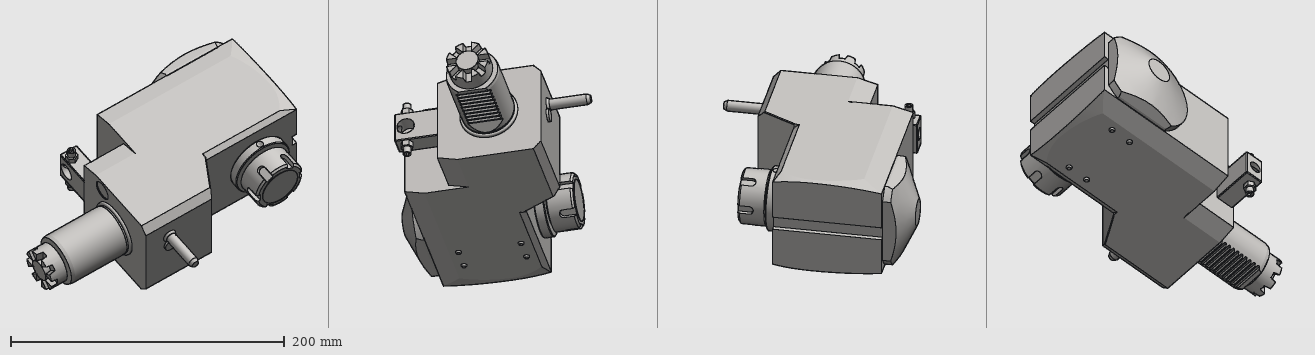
import cadquery as cq
import math


half_height = 37.6
back_y = 156.1
left_x = -72.0
foot_left_x = -38.8
foot_y = 35.2
head_right_x = 9.2
foot_right_x = 39.0
slope_top_y = 75.0
slope_bottom_y = 59.0
left_bevel_width = 15.0
left_bevel_drop = 4.0
head_bevel_width = 4.3
head_bevel_drop = 3.1
foot_bevel_width = 5.5
foot_bevel_drop = 6.0
slope_bevel = 0.7
crown_x = -20.0
crown_inset = 3.4
crown_left_radius = 84.0
crown_right_radius = 40.3
crown_slope = 0.19
crown_arc_angle = 50
crown_cut_height = 9
keyway_width = 10.0
keyway_depth = 3.8
recess_x = -16.1
recess_z = 27.8
recess_radius = 7.5
recess_depth = 1.0

spindle_y = 120.5
cap_radius = 40.0
cap_rim_x = -78.0
cap_tip_x = -92.0
cap_tip_radius = 10.0
cap_back_y = 152.0
cap_corner_y = 144.3
cap_corner_z = 25.3
cap_half_height = 33.0
cap_flat_x = -74
ring_end_x = 17.0
ring_radius = 24.0
ring_chamfer = 0.7
ring_hole_radius = 2.7
ring_hole_depth = 2.7
neck_radius = 16.4
nut_start_x = 18.5
nut_end_x = 38.3
nut_radius = 20.8
nut_chamfer = 1.5
nut_boss_radius = 15.7
nut_boss_length = 0.5
nut_slot_count = 6
nut_slot_width = 6.3
nut_slot_depth = 3.4
nut_slot_length = 11.9

flange_radius = 21.7
flange_length = 2.0
flange_fillet = 1.1
groove_radius = 19.7
groove_end_y = -3.4
shank_radius = 20.0
shank_end_radius = 19.3
shank_taper_y = -49.7
shank_end_y = -52.6
end_neck_radius = 12.8
end_nut_y = -54.0
end_nut_radius = 16.0
end_y = -67.9
runout_y = -4.0
flat_start_y = -10.8
tooth_valley_z = -15.0
tooth_crest_z = -16.4
first_tooth_y = -13.2
tooth_pitch = 4.0
tooth_count = 9
tooth_tip = 1.0
tooth_root = 2.7
end_slot_count = 8
end_slot_mouth = 6.3
end_slot_floor = 4.5
end_slot_depth = 5.2
end_hub_radius = 8.3

pin_y = 21.3
pin_z = 16.0
pin_radius = 4.0
pin_length = 32.5
pin_tip_length = 2.7
pin_tip_radius = 2.7
pin_collar_length = 2.0
pin_collar_base_radius = 5.4
pin_collar_top_radius = 4.3
button_z = 6.5
button_radius = 5.0
button_height = 1.8

block_left_x = -71.2
block_front_y = 1.1
block_back_y = 16.1
block_half_height = 12.0
block_edge = 0.7
port_x = -63.0
front_port_radius = 6.5
front_port_depth = 12.3
side_port_y = 7.8
side_port_radius = 4.7
side_port_depth = 21.3
jet_radius = 1.1
jet_depth = 3.4
screw_y = 5.8
nut_across_corners = 9.2
screw_radius = 3.0
socket_across_corners = 3.5
socket_depth = 2.2
screw_nut_height = 4.5
screw_height = 9.9

stud_spacing_x = 47
stud_spacing_y = 17.0
stud_center_x = -26.5
stud_base_radius = 2.2
stud_top_radius = 1.3
stud_height = 1.3

SPINDLE_START = (0, spindle_y, 0)
SPINDLE_END = (1, spindle_y, 0)
overlap = 2.2


def edge_bevel(edge_x, inward, width, drop, start_y, end_y):
    """Cutters for the top and bottom bevel along one edge parallel to Y."""
    profile = [
        (edge_x + inward * width, half_height),
        (edge_x, half_height - drop),
        (edge_x - inward * overlap, half_height - drop),
        (edge_x - inward * overlap, half_height + overlap),
        (edge_x + inward * width, half_height + overlap),
    ]
    top = cq.Workplane("XZ", origin=(0, start_y, 0)).polyline(profile).close().extrude(start_y - end_y)
    return top.union(top.mirror("XY"))


def slope_bevel_cutter():
    """Cutters for the narrow bevel along the top and bottom of the sloping wall."""
    run = foot_right_x - head_right_x
    fall = slope_top_y - slope_bottom_y
    length = math.hypot(run, fall)
    start = cq.Plane(
        origin=(head_right_x, slope_top_y, half_height),
        xDir=(fall / length, run / length, 0),
        normal=(run / length, -fall / length, 0),
    )
    profile = [(-slope_bevel, 0), (0, -slope_bevel), (slope_bevel, 0)]
    top = cq.Workplane(start).polyline(profile).close().extrude(length)
    return top.union(top.mirror("XY"))


def crown_cutter():
    """Cutters that round the top and bottom back edges with a curved, sloping bevel."""
    crown_y = back_y - crown_inset
    turn = math.radians(crown_arc_angle)

    def arc_point(radius, side, angle):
        return (crown_x + side * radius * math.sin(angle), crown_y - radius * (1 - math.cos(angle)))

    reach_y = back_y + crown_left_radius
    left_end = arc_point(crown_left_radius, -1, turn)
    right_end = arc_point(crown_right_radius, 1, turn)
    outline = (
        cq.Workplane("XY")
        .moveTo(*left_end)
        .threePointArc(arc_point(crown_left_radius, -1, turn / 2), (crown_x, crown_y))
        .threePointArc(arc_point(crown_right_radius, 1, turn / 2), right_end)
        .lineTo(right_end[0], reach_y)
        .lineTo(left_end[0], reach_y)
        .close()
        .wires()
        .val()
    )
    face = cq.Face.makeFromWires(outline)
    travel = cq.Vector(0, crown_cut_height / crown_slope, -crown_cut_height)
    start = face.moved(cq.Location(-travel * 0.5 + cq.Vector(0, 0, half_height)))
    top = cq.Workplane(cq.Solid.extrudeLinear(start, travel))
    return top.union(top.mirror("XY"))


def housing():
    outline = [
        (left_x, back_y),
        (head_right_x, back_y),
        (head_right_x, slope_top_y),
        (foot_right_x, slope_bottom_y),
        (foot_right_x, 0),
        (foot_left_x, 0),
        (foot_left_x, foot_y),
        (left_x, foot_y),
    ]
    body = cq.Workplane("XY").polyline(outline).close().extrude(half_height, both=True)
    body = body.cut(crown_cutter())
    body = body.cut(edge_bevel(left_x, 1, left_bevel_width, left_bevel_drop, foot_y, back_y))
    body = body.cut(edge_bevel(foot_left_x, 1, left_bevel_width, left_bevel_drop, 0, foot_y))
    body = body.cut(edge_bevel(head_right_x, -1, head_bevel_width, head_bevel_drop, slope_top_y, back_y))
    body = body.cut(edge_bevel(foot_right_x, -1, foot_bevel_width, foot_bevel_drop, 0, slope_top_y))
    body = body.cut(slope_bevel_cutter())
    keyway = (
        cq.Workplane("YZ", origin=(left_x, 0, 0))
        .center(back_y, 0)
        .rect(2 * keyway_depth, keyway_width)
        .extrude(head_right_x - left_x)
    )
    recess = cq.Workplane("XZ").center(recess_x, recess_z).circle(recess_radius).extrude(-recess_depth)
    return body.cut(keyway).cut(recess)


def end_cap():
    """Conical cap on the -X face, trimmed to follow the bevels of the housing."""
    profile = [
        (left_x + overlap, spindle_y),
        (left_x + overlap, spindle_y + cap_radius),
        (cap_rim_x, spindle_y + cap_radius),
        (cap_tip_x, spindle_y + cap_tip_radius),
        (cap_tip_x, spindle_y),
    ]
    cone = cq.Workplane("XY").polyline(profile).close().revolve(360, SPINDLE_START, SPINDLE_END)

    front_y = spindle_y - cap_radius - overlap
    side = [
        (front_y, cap_half_height),
        (cap_corner_y, cap_half_height),
        (cap_back_y, cap_corner_z),
        (cap_back_y, -cap_corner_z),
        (cap_corner_y, -cap_half_height),
        (front_y, -cap_half_height),
    ]
    side_trim = cq.Workplane("YZ", origin=(cap_tip_x, 0, 0)).polyline(side).close().extrude(-2 * cap_tip_x)

    bevel_slope = left_bevel_drop / left_bevel_width
    tip_half_height = cap_half_height - bevel_slope * (cap_flat_x - cap_tip_x)
    end = [
        (0, cap_half_height),
        (cap_flat_x, cap_half_height),
        (cap_tip_x, tip_half_height),
        (cap_tip_x, -tip_half_height),
        (cap_flat_x, -cap_half_height),
        (0, -cap_half_height),
    ]
    end_trim = cq.Workplane("XZ").polyline(end).close().extrude(-2 * back_y)
    return cone.intersect(side_trim).intersect(end_trim)


def clamping_nut():
    """Ring and slotted nut on the +X side of the head."""

    def disc(start_x, end_x, radius):
        plane = cq.Workplane("YZ", origin=(start_x, spindle_y, 0))
        return plane.circle(radius).extrude(end_x - start_x)

    ring = disc(head_right_x, ring_end_x, ring_radius).faces("<X or >X").chamfer(ring_chamfer)
    ring_hole = cq.Workplane(
        cq.Solid.makeCone(
            0,
            2 * ring_hole_radius,
            2 * ring_hole_depth,
            pnt=cq.Vector((head_right_x + ring_end_x) / 2, spindle_y, ring_radius - ring_hole_depth),
        )
    )
    nut = disc(nut_start_x, nut_end_x, nut_radius).faces(">X").chamfer(nut_chamfer)
    slot = (
        cq.Workplane("XY", origin=(0, 0, nut_radius - nut_slot_depth))
        .center(nut_end_x, spindle_y)
        .slot2D(2 * nut_slot_length, nut_slot_width)
        .extrude(2 * nut_slot_depth)
    )
    for index in range(nut_slot_count):
        angle = (index + 0.5) * 360 / nut_slot_count
        nut = nut.cut(slot.rotate(SPINDLE_START, SPINDLE_END, angle))
    boss = disc(nut_end_x - overlap, nut_end_x + nut_boss_length, nut_boss_radius)
    neck = disc(head_right_x - overlap, nut_start_x + overlap, neck_radius)
    return ring.cut(ring_hole).union(neck).union(nut).union(boss)


def toothed_flat_cutter():
    """Material below the toothed flat on the underside of the shank."""
    clear_z = -flange_radius - overlap
    profile = [(runout_y, clear_z), (runout_y, -shank_radius), (flat_start_y, tooth_valley_z)]
    for index in range(tooth_count):
        crest_y = first_tooth_y - index * tooth_pitch
        profile += [
            (crest_y + tooth_root / 2, tooth_valley_z),
            (crest_y + tooth_tip / 2, tooth_crest_z),
            (crest_y - tooth_tip / 2, tooth_crest_z),
            (crest_y - tooth_root / 2, tooth_valley_z),
        ]
    profile += [
        (shank_taper_y + tooth_root / 2, tooth_valley_z),
        (shank_taper_y + tooth_tip / 2, tooth_crest_z),
        (shank_end_y, tooth_crest_z),
        (shank_end_y, clear_z),
    ]
    return cq.Workplane("YZ").polyline(profile).close().extrude(shank_radius, both=True)


def shank():
    profile = [
        (0, overlap),
        (groove_radius, overlap),
        (groove_radius, groove_end_y),
        (shank_radius, groove_end_y),
        (shank_radius, shank_taper_y),
        (shank_end_radius, shank_end_y),
        (end_neck_radius, shank_end_y),
        (end_neck_radius, end_nut_y),
        (end_nut_radius, end_nut_y),
        (end_nut_radius, end_y),
        (0, end_y),
    ]
    body = cq.Workplane("XY").polyline(profile).close().revolve(360, (0, 0, 0), (0, 1, 0))
    flange = cq.Workplane("XZ").circle(flange_radius).extrude(flange_length)
    flange = flange.faces("<Y").edges().fillet(flange_fillet)
    body = body.cut(toothed_flat_cutter()).union(flange)

    slot_profile = [
        (-end_slot_mouth / 2, end_y),
        (-end_slot_floor / 2, end_y + end_slot_depth),
        (end_slot_floor / 2, end_y + end_slot_depth),
        (end_slot_mouth / 2, end_y),
    ]
    slot = cq.Workplane("XY").polyline(slot_profile).close().extrude(end_nut_radius + overlap)
    hub = cq.Workplane("XZ", origin=(0, end_y, 0)).circle(end_hub_radius).extrude(-end_slot_depth)
    slot = slot.cut(hub)
    for index in range(end_slot_count):
        body = body.cut(slot.rotate((0, 0, 0), (0, 1, 0), index * 360 / end_slot_count))
    return body


def locating_pin():
    profile = [
        (-overlap, 0),
        (-overlap, pin_collar_base_radius),
        (0, pin_collar_base_radius),
        (pin_collar_length, pin_collar_top_radius),
        (pin_collar_length, pin_radius),
        (pin_length - pin_tip_length, pin_radius),
        (pin_length, pin_tip_radius),
        (pin_length, 0),
    ]
    pin = cq.Workplane("XY").polyline(profile).close().revolve(360, (0, 0, 0), (1, 0, 0))
    pin = pin.translate((foot_right_x, pin_y, pin_z))
    button_plane = cq.Workplane("YZ", origin=(foot_right_x - overlap, pin_y, button_z))
    return pin.union(button_plane.circle(button_radius).extrude(button_height + overlap))


def coolant_block():
    length = foot_left_x - block_left_x
    block = (
        cq.Workplane("XY")
        .box(length, block_back_y - block_front_y, 2 * block_half_height, centered=(False, False, True))
        .translate((block_left_x, block_front_y, 0))
    )
    block = block.edges("<X or |X").chamfer(block_edge)
    front_port = (
        cq.Workplane("XZ", origin=(port_x, block_front_y, 0))
        .circle(front_port_radius)
        .extrude(-front_port_depth)
    )
    side = cq.Workplane("YZ", origin=(block_left_x, side_port_y, 0))
    side_port = side.circle(side_port_radius).extrude(side_port_depth)
    jet = side.circle(jet_radius).extrude(side_port_depth + jet_depth)
    block = block.cut(front_port).cut(side_port).cut(jet)

    screw_plane = cq.Workplane("XY", origin=(port_x, screw_y, block_half_height))
    screw_nut = screw_plane.polygon(6, nut_across_corners).extrude(screw_nut_height)
    screw = screw_plane.circle(screw_radius).extrude(screw_height)
    screw = screw.faces(">Z").workplane().polygon(6, socket_across_corners).cutBlind(-socket_depth)
    fastener = screw_nut.union(screw)
    return block.union(fastener).union(fastener.mirror("XY"))


def studs():
    return (
        cq.Workplane("XY", origin=(stud_center_x, spindle_y, -half_height))
        .rarray(stud_spacing_x, stud_spacing_y, 2, 2)
        .eachpoint(
            cq.Solid.makeCone(stud_base_radius, stud_top_radius, stud_height, dir=cq.Vector(0, 0, -1)),
            combine=False,
        )
    )


result = housing()
for component in (end_cap(), clamping_nut(), shank(), locating_pin(), coolant_block(), studs()):
    result = result.union(component)